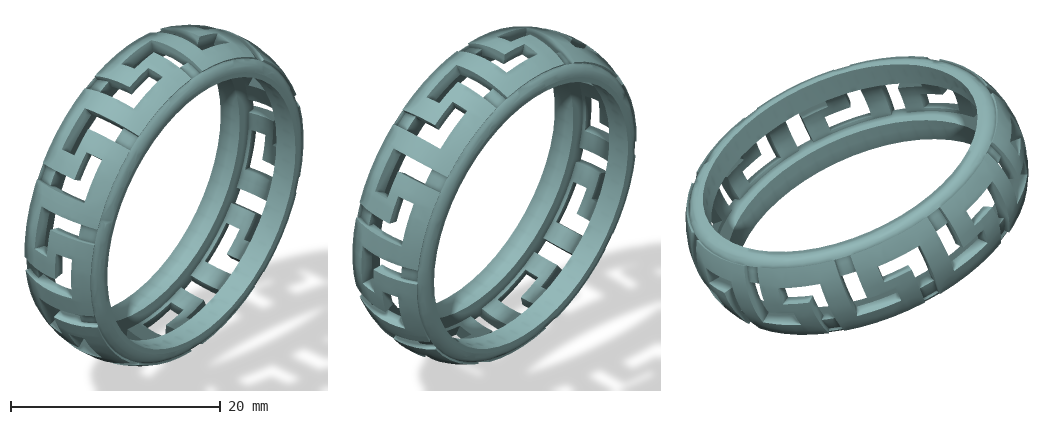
import cadquery as cq
import math


band_radius = 16.83
band_half_width = 4.1
dome_radius = 8.65
band_thickness = 1.18

rail_outer_x = 4.65
rail_inner_x = 2.3
rail_bore_radius = 13.95
rail_flat_radius = 14.45
rail_floor_depth = 0.5
rail_shoulder_depth = 0.25

pattern_count = 10
pattern_pitch = 360 / pattern_count
pattern_centre_angle = -6.5
slot_outer_x = 2.3
slot_inner_x = 0.55
bar_angle = 7.2
gap_angle = 5.9
slot_overrun_angle = 1.3
slot_start_angle = (pattern_pitch - bar_angle) / 2
gap_end_angle = slot_start_angle - gap_angle

cut_margin = 0.17

half_turn = 180
dome_centre_radius = band_radius - dome_radius


def dome_point(x, depth=0.0):
    """Point (x, radius) at a depth square to the dome, below the dome point at x."""
    tilt = math.asin(x / dome_radius)
    reach = dome_radius - depth
    return (reach * math.sin(tilt), dome_centre_radius + reach * math.cos(tilt))


def dome_strip(x_start, x_end, top_depth, bottom_depth):
    """Cross-section between two dome depths, its two ends square to the dome."""
    x_mid = (x_start + x_end) / 2
    return (
        cq.Workplane("XY")
        .moveTo(*dome_point(x_start, top_depth))
        .threePointArc(dome_point(x_mid, top_depth), dome_point(x_end, top_depth))
        .lineTo(*dome_point(x_end, bottom_depth))
        .threePointArc(dome_point(x_mid, bottom_depth), dome_point(x_start, bottom_depth))
        .close()
    )


def turn(profile, angle=360):
    """Revolve an (x, radius) profile around the ring axis."""
    return profile.revolve(angle, (0, 0, 0), (1, 0, 0))


def window(x_start, x_end, angle_start, angle_end):
    """Cutter through the band, its angles counted from the centre of a key unit."""
    strip = dome_strip(x_start, x_end, -cut_margin, band_thickness + cut_margin)
    cutter = turn(strip, angle_end - angle_start)
    return cutter.rotate((0, 0, 0), (1, 0, 0), pattern_centre_angle + angle_start)


def key_cutters():
    """Two hooked openings, each the other turned half way round the key centre."""
    far_x = band_half_width + cut_margin
    return [
        window(-slot_outer_x, -slot_inner_x, -slot_start_angle, slot_overrun_angle),
        window(-slot_outer_x, far_x, -slot_start_angle, -gap_end_angle),
        window(slot_inner_x, slot_outer_x, -slot_overrun_angle, slot_start_angle),
        window(-far_x, slot_outer_x, gap_end_angle, slot_start_angle),
    ]


def rail():
    """Rail at the +X end, its outer corner rounded up to the band."""
    floor_radius = dome_radius - rail_floor_depth

    def floor_point(x):
        return (x, dome_centre_radius + math.sqrt(floor_radius**2 - x**2))

    band_edge = dome_point(band_half_width, rail_floor_depth)
    shoulder = dome_point(band_half_width, rail_shoulder_depth)
    profile = (
        cq.Workplane("XY")
        .moveTo(rail_inner_x, rail_bore_radius)
        .lineTo(rail_outer_x, rail_bore_radius)
        .lineTo(rail_outer_x, rail_flat_radius)
        .tangentArcPoint(shoulder, relative=False)
        .lineTo(*band_edge)
        .threePointArc(floor_point((band_edge[0] + rail_inner_x) / 2), floor_point(rail_inner_x))
        .close()
    )
    return turn(profile)


def half_band():
    """Half of the band, from mid-bar to mid-bar, with its openings cut."""
    strip = dome_strip(-band_half_width, band_half_width, 0, band_thickness)
    first_angle = pattern_centre_angle - pattern_pitch / 2
    sector = turn(strip, half_turn).rotate((0, 0, 0), (1, 0, 0), first_angle)
    windows = [
        cutter.rotate((0, 0, 0), (1, 0, 0), index * pattern_pitch).val()
        for cutter in key_cutters()
        for index in range(pattern_count // 2)
    ]
    return sector.val().cut(*windows)


half = half_band()
band = half.fuse(half.rotate((0, 0, 0), (1, 0, 0), half_turn))
end_rail = rail().val()
ring = band.fuse(end_rail, end_rail.mirror("YZ"))
result = cq.Workplane("XY").newObject(ring.Solids())